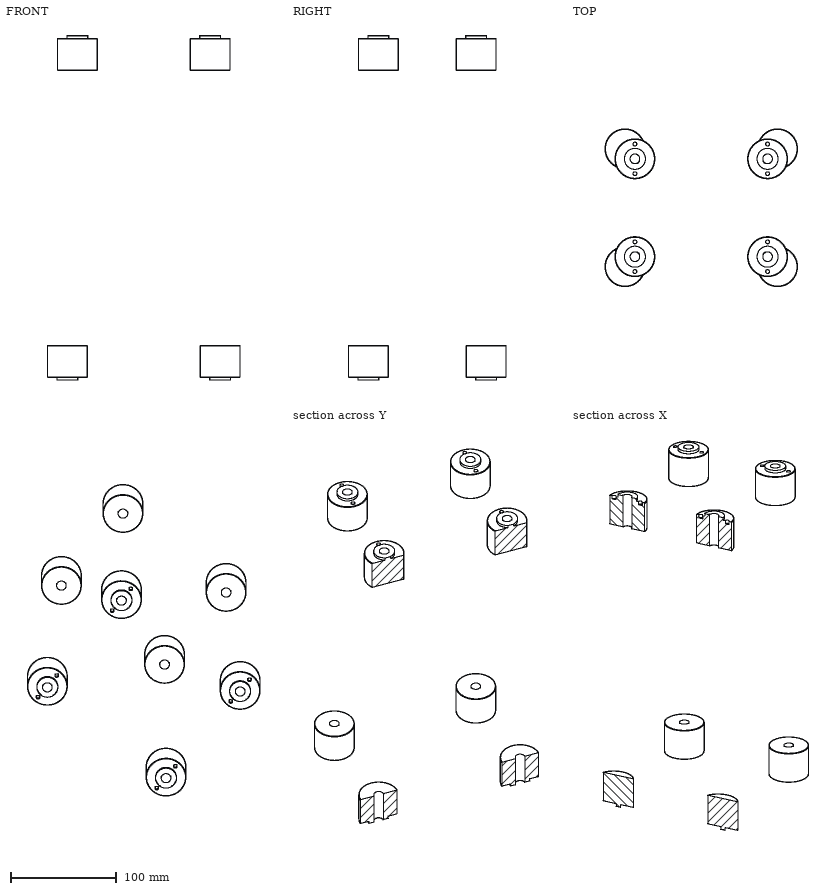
import cadquery as cq

overall_x = 182.2
overall_y = 149.3
overall_z = 326.0

body_diameter = 37.8
body_height = 30.3
body_chamfer = 0.5
boss_diameter = 20.0
boss_height = 2.5
bore_diameter = 9.0

pin_hole_diameter = 3.5
pin_hole_depth = 3.3
pin_hole_radius = 14.0

inset = 9.5
lower_axis_x = (overall_x - body_diameter) / 2
lower_axis_y = (overall_y - body_diameter) / 2
upper_axis_x = lower_axis_x - inset
upper_axis_y = lower_axis_y - inset

mounting_face_z = overall_z / 2 - boss_height


def make_buffer():
    """Buffer on the Z axis with its mounting face at Z = 0 and its boss pointing up."""
    body = cq.Workplane("XY").circle(body_diameter / 2).extrude(-body_height).edges().chamfer(body_chamfer)
    boss = cq.Workplane("XY").circle(boss_diameter / 2).extrude(boss_height)
    bore = (
        cq.Workplane("XY", origin=(0, 0, -body_height))
        .circle(bore_diameter / 2)
        .extrude(body_height + boss_height)
    )
    pin_holes = (
        cq.Workplane("XY")
        .pushPoints([(pin_hole_radius, 0), (-pin_hole_radius, 0)])
        .circle(pin_hole_diameter / 2)
        .extrude(-pin_hole_depth)
    )
    buffer = body.union(boss).cut(bore).cut(pin_holes)
    return buffer.rotate((0, 0, 0), (0, 0, 1), -90)


def make_group(buffer, axis_x, axis_y, face_z):
    """Four copies of a buffer, one in each quadrant, with the mounting face at face_z."""
    return [
        buffer.translate((side_x * axis_x, side_y * axis_y, face_z)).val()
        for side_x in (-1, 1)
        for side_y in (-1, 1)
    ]


upright_buffer = make_buffer()
inverted_buffer = upright_buffer.rotate((0, 0, 0), (0, 1, 0), 180)

upper_buffers = make_group(upright_buffer, upper_axis_x, upper_axis_y, mounting_face_z)
lower_buffers = make_group(inverted_buffer, lower_axis_x, lower_axis_y, -mounting_face_z)

result = cq.Compound.makeCompound([*upper_buffers, *lower_buffers])